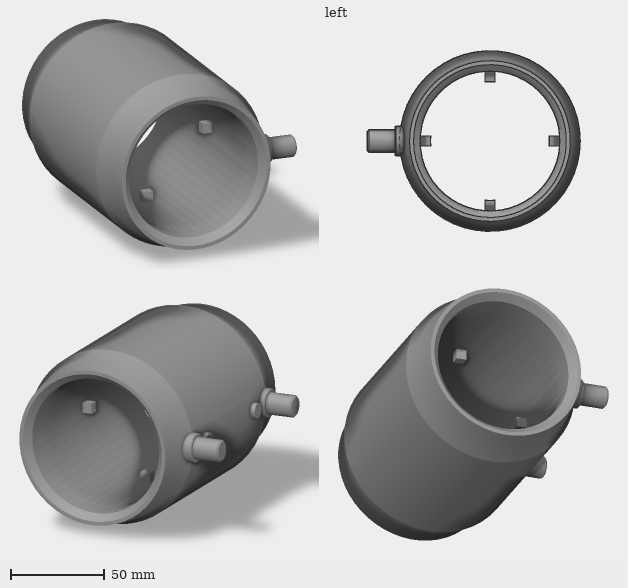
import cadquery as cq

length = 141.0
outer_radius = 48.4
end_radius = 43.0
taper_length = 23.5
taper_sag = 0.5
bore_radius = 37.4
mouth_radius = 40.9
mouth_depth = 4.2

tab_count = 4
tab_width = 5.5
tab_length = 5.5
tab_tip_radius = 31.7

terminal_x = length / 2 - taper_length
pin_radius = 6.0
pin_top = 65.7
pin_chamfer = 1.0
collar_radius = 8.0
collar_top = 50.9
collar_chamfer = 0.5
stud_x = 31.0
stud_radius = 4.2
root_y = 42.3

half_length = length / 2
tab_root_radius = (bore_radius + outer_radius) / 2


def make_sleeve():
    """Revolve the wall section about the X axis."""
    taper_mid_x = half_length - taper_length / 2
    taper_mid_radius = (outer_radius + end_radius) / 2 - taper_sag
    return (
        cq.Workplane("XY")
        .moveTo(-half_length, mouth_radius)
        .lineTo(-half_length, end_radius)
        .threePointArc((-taper_mid_x, taper_mid_radius), (-terminal_x, outer_radius))
        .lineTo(terminal_x, outer_radius)
        .threePointArc((taper_mid_x, taper_mid_radius), (half_length, end_radius))
        .lineTo(half_length, mouth_radius)
        .lineTo(half_length - mouth_depth, bore_radius)
        .lineTo(-half_length + mouth_depth, bore_radius)
        .close()
        .revolve(360, (0, 0, 0), (1, 0, 0))
    )


def make_tabs():
    """Radial stop tabs whose tips lie on a common cylinder."""
    tabs = cq.Workplane("XY")
    for index in range(tab_count):
        tab = (
            cq.Workplane("XY")
            .box(tab_length, tab_root_radius, tab_width, centered=(True, False, True))
            .rotate((0, 0, 0), (1, 0, 0), index * 360 / tab_count)
        )
        tabs = tabs.add(tab)
    tip_cylinder = cq.Workplane("YZ").circle(tab_tip_radius).extrude(tab_length, both=True)
    return tabs.combine().cut(tip_cylinder)


def make_post(x, radius, top, chamfer=0):
    """Round post along +Y, rooted in the tube wall."""
    post = (
        cq.Workplane("XZ", origin=(x, root_y, 0))
        .circle(radius)
        .extrude(root_y - top)
    )
    if chamfer:
        post = post.faces(">Y").chamfer(chamfer)
    return post


result = make_sleeve().union(make_tabs())
for side in (-1, 1):
    result = result.union(make_post(side * terminal_x, collar_radius, collar_top, collar_chamfer))
    result = result.union(make_post(side * terminal_x, pin_radius, pin_top, pin_chamfer))
    result = result.union(make_post(side * stud_x, stud_radius, collar_top))